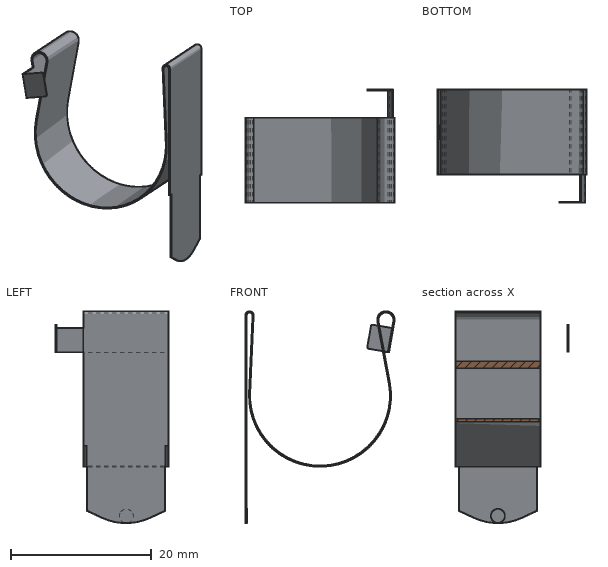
import cadquery as cq
import math


thickness = 0.2
strip_width = 12.1
half_thickness = thickness / 2

blade_face_x = -10.6
overall_length = 21.2
overall_height = 30.1
top_z = 12.0
bottom_z = top_z - overall_height

cradle_outer_radius = 10.1
hairpin_outer_radius = 0.6
loop_outer_radius = 1.25
cradle_radius = cradle_outer_radius - half_thickness
hairpin_radius = hairpin_outer_radius - half_thickness
loop_radius = loop_outer_radius - half_thickness
cradle_centre = (0, 0)
hairpin_centre = (blade_face_x + hairpin_outer_radius, top_z - hairpin_outer_radius)
loop_centre = (blade_face_x + overall_length - loop_outer_radius, top_z - loop_outer_radius)

lip_tilt = math.radians(10)
lip_length = 4.46

blade_width = 11.1
shoulder_z = top_z - 19.1
tip_slope = math.radians(25)
tip_radius = 8.0
button_diameter = 2.0
button_rise = 0.1
button_margin = 0.05

tab_height = 3.5
tab_reach = 4.0
flag_length = 3.2
flag_corner_radius = 0.3
bend_outer_radius = 0.15


def on_circle(centre, radius, angle):
    return (centre[0] + radius * math.cos(angle), centre[1] + radius * math.sin(angle))


def crossing_tangent_tilt(upper_centre, upper_radius):
    """Tilt from vertical of the leg that crosses between an upper bend and the cradle."""
    across = abs(upper_centre[0] - cradle_centre[0])
    down = upper_centre[1] - cradle_centre[1]
    reach = math.hypot(across, down)
    return math.asin((cradle_radius + upper_radius) / reach) - math.atan2(across, down)


hairpin_leg_tilt = crossing_tangent_tilt(hairpin_centre, hairpin_radius)
loop_leg_tilt = crossing_tangent_tilt(loop_centre, loop_radius)


def lip_point(along, inward):
    """Point on the lip: distance down from the loop, and inward from the outer face."""
    start = on_circle(loop_centre, loop_outer_radius - inward, -lip_tilt)
    return (start[0] - along * math.sin(lip_tilt), start[1] - along * math.cos(lip_tilt))


def bend_points(centre, radius, start_angle, end_angle):
    middle_angle = (start_angle + end_angle) / 2
    return [on_circle(centre, radius, angle) for angle in (start_angle, middle_angle, end_angle)]


def strip_face(offset):
    """Points along one face of the strip, offset toward the outside of the two upper bends."""
    hairpin = bend_points(hairpin_centre, hairpin_radius + offset, math.pi, -hairpin_leg_tilt)
    cradle = bend_points(
        cradle_centre, cradle_radius - offset, math.pi - hairpin_leg_tilt, 2 * math.pi + loop_leg_tilt
    )
    loop = bend_points(loop_centre, loop_radius + offset, math.pi + loop_leg_tilt, -lip_tilt)
    blade_end = (hairpin[0][0], bottom_z)
    lip_end = lip_point(lip_length, half_thickness - offset)
    return [blade_end, *hairpin, *cradle, *loop, lip_end]


def trace_face(sketch, points):
    """Continue an outline along one face: a line into each bend, then its arc."""
    for first in range(1, len(points) - 1, 3):
        sketch = sketch.lineTo(*points[first])
        sketch = sketch.threePointArc(points[first + 1], points[first + 2])
    return sketch.lineTo(*points[-1])


def make_strip():
    outer = strip_face(half_thickness)
    inner = strip_face(-half_thickness)[::-1]
    sketch = trace_face(cq.Workplane("XZ").moveTo(*outer[0]), outer)
    sketch = trace_face(sketch.lineTo(*inner[0]), inner)
    return sketch.close().extrude(strip_width / 2, both=True)


def make_button():
    button_z = bottom_z + button_margin + button_diameter / 2
    button_plane = cq.Workplane("YZ", origin=(blade_face_x + half_thickness, 0, button_z))
    return button_plane.circle(button_diameter / 2).extrude(half_thickness + button_rise)


def make_blade_trim():
    """Waste around the lower blade: side shoulders and the sloped, rounded tip."""
    half_blade = blade_width / 2
    arc_half_width = tip_radius * math.sin(tip_slope)
    arc_end_z = bottom_z + tip_radius * (1 - math.cos(tip_slope))
    corner_z = arc_end_z + (half_blade - arc_half_width) * math.tan(tip_slope)
    blade_plane = cq.Workplane("YZ", origin=(blade_face_x, 0, 0))
    keep = (
        blade_plane.moveTo(-half_blade, shoulder_z)
        .lineTo(-half_blade, corner_z)
        .lineTo(-arc_half_width, arc_end_z)
        .threePointArc((0, bottom_z), (arc_half_width, arc_end_z))
        .lineTo(half_blade, corner_z)
        .lineTo(half_blade, shoulder_z)
        .close()
        .extrude(thickness)
    )
    lower_height = shoulder_z - bottom_z
    lower_blade = blade_plane.center(0, shoulder_z - lower_height / 2)
    return lower_blade.rect(strip_width, lower_height).extrude(thickness).cut(keep)


def nearest_edge(plane, local_point):
    return cq.selectors.NearestToPointSelector(plane.toWorldCoords(local_point).toTuple())


def make_tab():
    """L-shaped tab: an arm continuing the lip along Y and a flag folded across it."""
    tab_end_y = strip_width / 2 + tab_reach
    corner = lip_point(lip_length, 0)
    inward = (-math.cos(lip_tilt), 0, math.sin(lip_tilt))
    plane = cq.Plane(origin=(corner[0], tab_end_y, corner[1]), xDir=inward, normal=(0, 1, 0))
    block = cq.Workplane(plane).rect(flag_length, tab_height, centered=False).extrude(-tab_reach)
    folded_edge = nearest_edge(plane, (0, tab_height / 2, 0))
    block = block.edges(folded_edge).fillet(bend_outer_radius)
    inside = (
        cq.Workplane(plane)
        .workplane(offset=-thickness)
        .moveTo(thickness, 0)
        .rect(flag_length, tab_height, centered=False)
        .extrude(-tab_reach)
    )
    tab = block.cut(inside)
    for height in (0, tab_height):
        flag_corner = nearest_edge(plane, (flag_length, height, -half_thickness))
        tab = tab.edges(flag_corner).fillet(flag_corner_radius)
    return tab


result = make_strip().cut(make_blade_trim()).union(make_button()).union(make_tab())